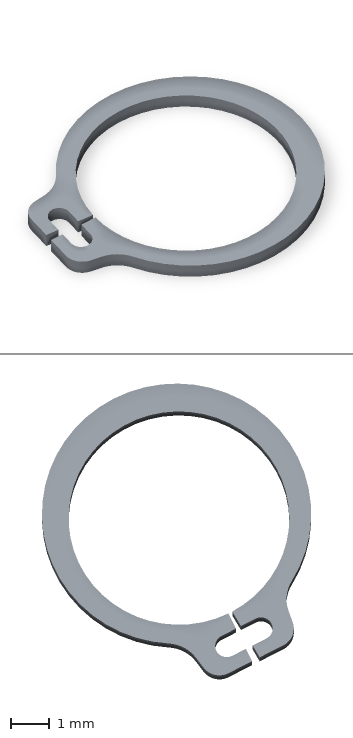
import cadquery as cq

LENGTH = 7.85
THICKNESS = 0.4
OUTER_DIAMETER = 6.93
OUTER_RADIUS = OUTER_DIAMETER / 2
BORE_RADIUS = 2.84
BORE_OFFSET = 0.13

LUG_END_Y = OUTER_RADIUS - LENGTH
LUG_TOP_Y = -BORE_RADIUS
LUG_END_HALF_WIDTH = 1.23
LUG_SIDE_SLOPE = 0.15
LUG_CORNER_RADIUS = 0.5
LUG_ROOT_RADIUS = 0.94

SLOT_LENGTH = 1.59
SLOT_WIDTH = 0.6
SLOT_Y = -3.72

GAP_BORE_HALF_WIDTH = 0.055
GAP_END_HALF_WIDTH = 0.11


def trapezoid(bottom_y, bottom_half, top_y, top_half):
    """Plate symmetric about X = 0 with straight, tapered sides."""
    return (
        cq.Workplane("XY")
        .polyline([
            (-bottom_half, bottom_y),
            (bottom_half, bottom_y),
            (top_half, top_y),
            (-top_half, top_y),
        ])
        .close()
        .extrude(THICKNESS)
    )


def make_blank():
    """Disc and lug, with rounded lug corners and roots."""
    disc = cq.Workplane("XY").circle(OUTER_RADIUS).extrude(THICKNESS)
    lug_top_half_width = LUG_END_HALF_WIDTH + LUG_SIDE_SLOPE * (LUG_TOP_Y - LUG_END_Y)
    lug = trapezoid(LUG_END_Y, LUG_END_HALF_WIDTH, LUG_TOP_Y, lug_top_half_width)
    lug = lug.edges("|Z and <Y").fillet(LUG_CORNER_RADIUS)
    blank = disc.union(lug)
    root_zone = cq.selectors.BoxSelector(
        (-OUTER_RADIUS / 2, SLOT_Y + SLOT_WIDTH / 2, 0),
        (OUTER_RADIUS / 2, LUG_TOP_Y, THICKNESS),
    )
    return blank.edges("|Z").edges(root_zone).fillet(LUG_ROOT_RADIUS)


def make_bore():
    """Round opening, eccentric to the outside of the ring."""
    return cq.Workplane("XY").center(0, -BORE_OFFSET).circle(BORE_RADIUS).extrude(THICKNESS)


def make_slot():
    """Round-ended slot across the lug."""
    return cq.Workplane("XY").center(0, SLOT_Y).slot2D(SLOT_LENGTH, SLOT_WIDTH).extrude(THICKNESS)


def make_gap():
    """Tapered split from the bore out through the lug end."""
    bore_bottom_y = -BORE_OFFSET - BORE_RADIUS
    taper = (GAP_END_HALF_WIDTH - GAP_BORE_HALF_WIDTH) / (bore_bottom_y - LUG_END_Y)
    gap_top_y = bore_bottom_y + GAP_BORE_HALF_WIDTH
    gap_top_half_width = GAP_BORE_HALF_WIDTH * (1 - taper)
    return trapezoid(LUG_END_Y, GAP_END_HALF_WIDTH, gap_top_y, gap_top_half_width)


result = make_blank().cut(make_bore()).cut(make_slot()).cut(make_gap())